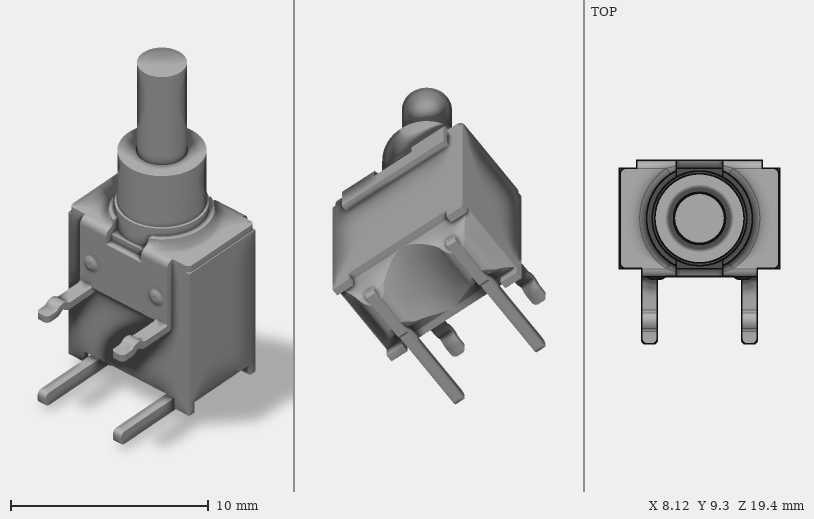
import cadquery as cq
import math


case_x = 8.12
case_y = 5.08
foot_z = 0.55
case_bottom_z = 1.2
case_top_z = 9.45
front_opening_x = 6.13
side_opening_y = 4.27

sheet = 0.4
bracket_top_z = case_top_z + sheet
cover_x = 8.03
cover_corner_radius = 0.27
front_strap_x = 5.85
front_strap_bottom_z = 5.85
back_strap_x = 6.36
back_strap_bottom_z = 8.0
notch_x = 2.37
notch_bottom_z = 9.02

tip_y = -6.36
tab_x = 0.8
tab_tip_radius = 0.25
tab_bend_outer_radius = 0.3
tab_bend_inner_radius = 0.14
crimp_y = -5.18
crimp_height = 0.23
crimp_half_length = 0.55
crimp_crest_half_length = 0.39
crimp_angle = 2 * math.atan(crimp_height / crimp_half_length)
crimp_foot_radius = (crimp_half_length - crimp_crest_half_length) / math.sin(crimp_angle)

dimple_spacing = 4.38
dimple_z = 7.33
dimple_base_radius = 0.52
dimple_dome_radius = 0.4
dimple_flat_radius = 0.17
dimple_rim_height = 0.04
dimple_height = 0.14
dimple_rim_sag = 0.01
dimple_dome_sag = 0.02

bushing_diameter = 4.52
bushing_top_z = 13.9
shoulder_diameter = 4.79
shoulder_top_z = 10.7
collar_diameter = 5.35
collar_top_z = 10.24
collar_fillet = 0.37

plunger_diameter = 2.54
bore_diameter = 2.64
plunger_bottom_z = bracket_top_z
plunger_top_z = 19.39

terminal_spacing = 5.06
terminal_x = 0.55
terminal_top_z = 0.93
terminal_step_z = 0.15
terminal_step_y = -1.38
terminal_back_y = 1.45
terminal_tip_radius = 0.27
terminal_corner_radius = 0.14

potting_tip_z = 0.12
potting_brow_z = 0.47
potting_tip_half_x = 0.3
potting_brow_half_x = 0.8
potting_tip_half_y = 0.83
potting_brow_half_y = 1.35
potting_outer_rim_x = 1.45
potting_valley_sag = 0.2
potting_flank_sag = 0.08
potting_brow_sag_x = 0.08
potting_brow_sag_y = 0.02
potting_overlap = 0.2

tolerance = 0.002


def box(size_x, y_limits, z_limits):
    """Block centred on X = 0 between two Y and two Z limits."""
    size_y = y_limits[1] - y_limits[0]
    size_z = z_limits[1] - z_limits[0]
    corner = (-size_x / 2, y_limits[0], z_limits[0])
    return cq.Workplane("XY").box(size_x, size_y, size_z, centered=False).translate(corner)


def cylinder(diameter, bottom_z, top_z):
    """Upright cylinder on the plunger axis."""
    return cq.Workplane("XY").workplane(offset=bottom_z).circle(diameter / 2).extrude(top_z - bottom_z)


def make_case():
    """Block standing on four corner feet."""
    half_y = case_y / 2
    block = box(case_x, (-half_y, half_y), (foot_z, case_top_z))
    front_opening = box(front_opening_x, (-half_y, half_y), (foot_z, case_bottom_z))
    side_opening = box(case_x, (-side_opening_y / 2, side_opening_y / 2), (foot_z, case_bottom_z))
    return block.cut(front_opening).cut(side_opening)


def make_strap(width, bottom_z, side):
    """Strap hanging down the case front (side -1) or back (side +1), with its top bend."""
    inner_y = case_y / 2
    mid_bend = sheet * math.sqrt(0.5)
    profile = (
        cq.Workplane("YZ")
        .moveTo(side * inner_y, bottom_z)
        .lineTo(side * inner_y, bracket_top_z)
        .threePointArc(
            (side * (inner_y + mid_bend), case_top_z + mid_bend),
            (side * (inner_y + sheet), case_top_z),
        )
        .lineTo(side * (inner_y + sheet), bottom_z)
        .close()
    )
    return profile.extrude(width / 2, both=True)


def is_collar_root(edge):
    """True for the long arcs where the collar meets the cover."""
    middle = edge.positionAt(0.5)
    on_collar = abs(math.hypot(middle.x, middle.y) - collar_diameter / 2) < tolerance
    return on_collar and abs(middle.z - bracket_top_z) < tolerance


def make_bracket_cap():
    """Cover plate with both straps and the filleted collar, notched at front and back."""
    half_y = case_y / 2
    cover = box(cover_x, (-half_y, half_y), (case_top_z, bracket_top_z))
    cover = cover.edges("|Z").fillet(cover_corner_radius)
    front_strap = make_strap(front_strap_x, front_strap_bottom_z, -1)
    back_strap = make_strap(back_strap_x, back_strap_bottom_z, 1)
    collar = cylinder(collar_diameter, case_top_z, collar_top_z)
    notch = box(notch_x, (-half_y - sheet, half_y + sheet), (notch_bottom_z, collar_top_z))
    cap = cover.union(front_strap).union(back_strap).union(collar).cut(notch)
    collar_roots = [edge for edge in cap.edges().vals() if is_collar_root(edge)]
    return cap.newObject(collar_roots).fillet(collar_fillet)


def add_crimp(profile, base_z, foot_radius, entry_side):
    """Extend a tab outline over the crimp, entering on the strap side (+1) or the tip side (-1)."""

    def foot_point(angle, side):
        y = crimp_y + side * (crimp_half_length - foot_radius * math.sin(angle))
        z = base_z + foot_radius * (1 - math.cos(angle))
        return (y, z)

    crest_start = foot_point(crimp_angle, entry_side)
    crest_end = foot_point(crimp_angle, -entry_side)
    return (
        profile.lineTo(*foot_point(0, entry_side))
        .threePointArc(foot_point(crimp_angle / 2, entry_side), crest_start)
        .threePointArc((crimp_y, base_z + crimp_height), crest_end)
        .threePointArc(foot_point(crimp_angle / 2, -entry_side), foot_point(0, -entry_side))
    )


def make_tab(center_x):
    """Tab bent forward from the front strap, with a crimp and a rounded tip."""
    top_z = front_strap_bottom_z
    bottom_z = top_z - sheet
    back_y = -case_y / 2
    front_y = back_y - sheet
    inner = tab_bend_inner_radius
    outer = tab_bend_outer_radius
    bend_middle = 1 - math.sqrt(0.5)

    profile = cq.Workplane("YZ").moveTo(front_y - inner, top_z)
    profile = add_crimp(profile, top_z, crimp_foot_radius, 1)
    profile = profile.lineTo(tip_y, top_z).lineTo(tip_y, bottom_z)
    profile = add_crimp(profile, bottom_z, crimp_foot_radius + sheet, -1)
    profile = (
        profile.lineTo(back_y - outer, bottom_z)
        .threePointArc(
            (back_y - outer * bend_middle, bottom_z + outer * bend_middle),
            (back_y, bottom_z + outer),
        )
        .lineTo(back_y, top_z + inner)
        .lineTo(front_y, top_z + inner)
        .threePointArc(
            (front_y - inner * bend_middle, top_z + inner * bend_middle),
            (front_y - inner, top_z),
        )
        .close()
    )
    tab = profile.extrude(tab_x / 2, both=True)
    tab = tab.faces("<Y").edges("|Z").fillet(tab_tip_radius)
    return tab.translate((center_x, 0, 0))


def make_dimple(center_x):
    """Low dome with a flat crown and a flared rim on the front strap."""
    profile = (
        cq.Workplane("XY")
        .lineTo(dimple_base_radius, 0)
        .sagittaArc((dimple_dome_radius, dimple_rim_height), dimple_rim_sag)
        .sagittaArc((dimple_flat_radius, dimple_height), -dimple_dome_sag)
        .lineTo(0, dimple_height)
        .close()
    )
    dome = profile.revolve(360, (0, 0, 0), (0, 1, 0))
    dome = dome.rotate((0, 0, 0), (1, 0, 0), 180)
    return dome.translate((center_x, -case_y / 2 - sheet, dimple_z))


def make_bushing():
    """Stepped sleeve around the plunger."""
    sleeve = cylinder(bushing_diameter, case_top_z, bushing_top_z)
    shoulder = cylinder(shoulder_diameter, case_top_z, shoulder_top_z)
    return sleeve.union(shoulder)


def make_terminal(center_x):
    """Flat terminal running forward under the case, deeper inside the case than in front of it."""
    step_slope_y = terminal_step_y - terminal_step_z
    profile = (
        cq.Workplane("YZ")
        .moveTo(tip_y, terminal_top_z)
        .lineTo(terminal_back_y, terminal_top_z)
        .lineTo(terminal_back_y, 0)
        .lineTo(terminal_step_y, 0)
        .lineTo(step_slope_y, terminal_step_z)
        .lineTo(tip_y, terminal_step_z)
        .close()
    )
    terminal = profile.extrude(terminal_x / 2, both=True)
    terminal = terminal.faces("<Y").edges("|X").fillet(terminal_tip_radius)
    terminal = terminal.faces(">Y").edges("<Z").fillet(terminal_corner_radius)
    return terminal.translate((center_x, 0, 0))


def mound_outline(plane, first_rim, last_rim, brow, tip, first_sag, brow_sag):
    """Outline of a potting mound with a hollow flank, a rounded brow and a flat tip on each side of 0."""
    root_z = case_bottom_z + potting_overlap
    return (
        cq.Workplane(plane)
        .moveTo(first_rim, root_z)
        .lineTo(first_rim, case_bottom_z)
        .sagittaArc((-brow, potting_brow_z), first_sag)
        .sagittaArc((-tip, potting_tip_z), -brow_sag)
        .lineTo(tip, potting_tip_z)
        .sagittaArc((brow, potting_brow_z), -brow_sag)
        .sagittaArc((last_rim, case_bottom_z), potting_flank_sag)
        .lineTo(last_rim, root_z)
        .close()
    )


def make_potting(side):
    """Mound around one terminal (side -1 or +1), reaching the middle valley between the two."""
    across = mound_outline(
        "XZ",
        -terminal_spacing / 2,
        potting_outer_rim_x,
        potting_brow_half_x,
        potting_tip_half_x,
        potting_valley_sag,
        potting_brow_sag_x,
    ).extrude(side_opening_y / 2, both=True)
    along = mound_outline(
        "YZ",
        -side_opening_y / 2,
        side_opening_y / 2,
        potting_brow_half_y,
        potting_tip_half_y,
        potting_flank_sag,
        potting_brow_sag_y,
    ).extrude(case_x / 2, both=True)
    mound = across.intersect(along).translate((terminal_spacing / 2, 0, 0))
    if side < 0:
        mound = mound.mirror("YZ")
    return mound


def make_housing():
    """Case, bracket, bushing, terminals and potting as one solid with a blind bore for the plunger."""
    housing = make_case().union(make_bracket_cap()).union(make_bushing())
    for side in (-1, 1):
        housing = housing.union(make_tab(side * (front_strap_x - tab_x) / 2))
        housing = housing.union(make_dimple(side * dimple_spacing / 2))
        housing = housing.union(make_potting(side))
        housing = housing.union(make_terminal(side * terminal_spacing / 2))
    bore = cylinder(bore_diameter, plunger_bottom_z, bushing_top_z)
    return housing.cut(bore)


def make_plunger():
    """Round plunger resting on the floor of the bore."""
    return cylinder(plunger_diameter, plunger_bottom_z, plunger_top_z)


housing = make_housing()
plunger = make_plunger()

result = cq.Compound.makeCompound([housing.solids().val(), plunger.val()])